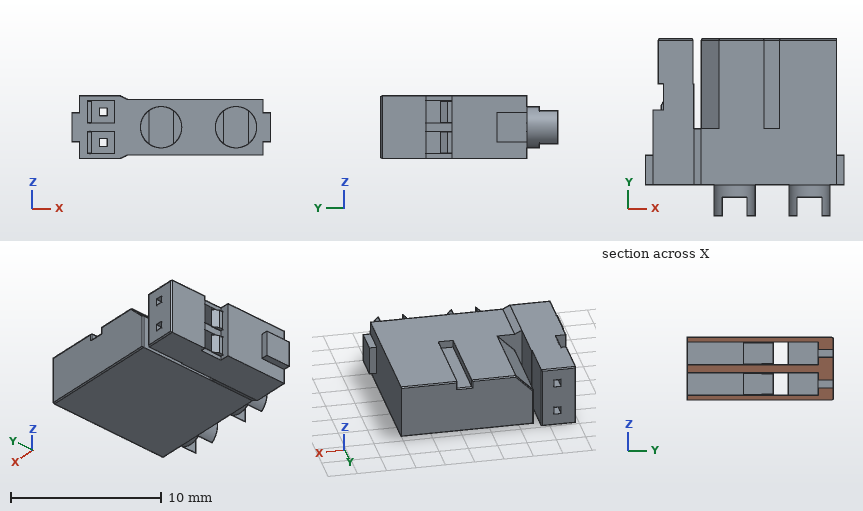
import cadquery as cq
import math


ear_length = 0.5
ear_depth = 1.99
ear_height = 1.95

overall_length = 13.24
housing_depth = 9.75
block_left = 3.72
block_right = overall_length - ear_length
block_height = 3.71

tower_left = ear_length
tower_right = 3.23
tower_height = 4.2
tower_rear_left = 0.85
tower_rear_right = 3.18
latch_front = 5.0
latch_back = 6.74
latch_floor = 1.2

web_depth = 3.76
key_chamfer_width = 1.19
key_chamfer_drop = 1.19
key_slot_left = 7.92
key_slot_width = 1.0
key_slot_depth = 0.5
back_rim_length = 0.1
back_rim_inset = 0.07
shoulder_depth = housing_depth - back_rim_length

cavity_left = 1.05
cavity_width = 1.8
cavity_height = 1.5
cavity_offset = 1.02
cavity_depth = 8.74
rear_hole_left = 1.84
rear_hole_size = 0.5
tongue_thickness = 0.26
tongue_height = 1.39
tongue_front = web_depth
tongue_shoulder = 5.3
tongue_tip = 5.76

terminal_diameter = 2.75
terminal_first_x = 5.95
terminal_pitch = 4.99
terminal_count = 2
terminal_protrusion = 2.05
terminal_seat_depth = web_depth
fork_gap = 1.64
fork_base = 0.83


def box_at(x_min, x_max, y_min, y_max, height, z_mid=0.0):
    """Box between the given X and Y limits, centred on z_mid."""
    return (
        cq.Workplane("XY")
        .box(x_max - x_min, y_max - y_min, height)
        .translate(((x_min + x_max) / 2, (y_min + y_max) / 2, z_mid))
    )


def plan_prism(points, height, z_mid=0.0):
    """Prism with an outline in X and Y, centred on z_mid."""
    return (
        cq.Workplane("XY", origin=(0, 0, z_mid))
        .polyline(points)
        .close()
        .extrude(height / 2, both=True)
    )


def along_y(x, y_front, y_back, diameter):
    """Cylinder parallel to Y at mid-height."""
    return (
        cq.Workplane("XZ", origin=(x, y_front, 0))
        .circle(diameter / 2)
        .extrude(y_front - y_back)
    )


def add_back_rim(body):
    """Extend the back face to the full housing depth, tapering inward all round."""
    taper_angle = math.degrees(math.atan2(back_rim_inset, back_rim_length))
    back_outline = body.faces(">Y").wires().toPending().workplane()
    return back_outline.extrude(back_rim_length, taper=taper_angle)


def make_block():
    """Main block with its key chamfer and key slot.

    It starts one rim inset too wide and is trimmed at the end, so its outer side stays flat to the back.
    """
    top = block_height / 2
    block = box_at(block_left, block_right + back_rim_inset, 0, shoulder_depth, block_height)

    key_chamfer = (
        cq.Workplane("XZ", origin=(0, web_depth, 0))
        .polyline([
            (block_left, top),
            (block_left + key_chamfer_width, top),
            (block_left, top - key_chamfer_drop),
        ])
        .close()
        .extrude(web_depth - shoulder_depth)
    )
    key_slot = box_at(
        key_slot_left,
        key_slot_left + key_slot_width,
        web_depth,
        shoulder_depth,
        2 * key_slot_depth,
        top,
    )
    block = block.cut(key_chamfer).cut(key_slot)
    block = add_back_rim(block)
    return block.intersect(box_at(block_left, block_right, 0, housing_depth, block_height))


def make_tower():
    """Signal tower with the latch recess on its outer side."""
    tower = plan_prism(
        [
            (tower_left, 0),
            (tower_right, 0),
            (tower_right, latch_back),
            (tower_rear_right, latch_back),
            (tower_rear_right, shoulder_depth),
            (tower_rear_left, shoulder_depth),
            (tower_rear_left, latch_back),
            (latch_floor, latch_back),
            (latch_floor, latch_front),
            (tower_left, latch_front),
        ],
        tower_height,
    )
    return add_back_rim(tower)


def make_web():
    """Tapered web that joins the tower to the block."""
    tower_top = tower_height / 2
    block_top = block_height / 2
    return (
        cq.Workplane("XZ")
        .polyline([
            (tower_right, tower_top),
            (block_left, block_top),
            (block_left, -block_top),
            (tower_right, -tower_top),
        ])
        .close()
        .extrude(-web_depth)
    )


def make_cavity(z_mid):
    """Space for one signal contact: the cavity and its square rear hole."""
    cavity = box_at(cavity_left, cavity_left + cavity_width, 0, cavity_depth, cavity_height, z_mid)
    rear_hole = box_at(
        rear_hole_left,
        rear_hole_left + rear_hole_size,
        cavity_depth,
        housing_depth,
        rear_hole_size,
        z_mid,
    )
    return cavity.union(rear_hole)


def make_tongue(z_mid):
    """Retaining tongue on the outer cavity wall, tapering to a tip in the latch recess."""
    return plan_prism(
        [
            (cavity_left, tongue_front),
            (cavity_left + tongue_thickness, tongue_front),
            (cavity_left + tongue_thickness, tongue_tip),
            (cavity_left, tongue_shoulder),
        ],
        tongue_height,
        z_mid,
    )


def make_housing():
    """Housing with ears, signal cavities and bores for the power terminals."""
    housing = make_block().union(make_web()).union(make_tower())
    for x_min in (0, block_right):
        housing = housing.union(box_at(x_min, x_min + ear_length, 0, ear_depth, ear_height))
    for z_mid in (-cavity_offset, cavity_offset):
        housing = housing.cut(make_cavity(z_mid)).union(make_tongue(z_mid))
    for x in terminal_positions:
        housing = housing.cut(along_y(x, 0, terminal_seat_depth, terminal_diameter))
    return housing


def make_terminal(x):
    """Power terminal seated in its bore, with a forked front end."""
    terminal = along_y(x, -terminal_protrusion, terminal_seat_depth, terminal_diameter)
    gap = box_at(
        x - fork_gap / 2,
        x + fork_gap / 2,
        -terminal_protrusion,
        -fork_base,
        terminal_diameter,
    )
    return terminal.cut(gap)


terminal_positions = [terminal_first_x + i * terminal_pitch for i in range(terminal_count)]

housing = make_housing()
terminals = [make_terminal(x) for x in terminal_positions]

result = cq.Compound.makeCompound([housing.val(), *[terminal.val() for terminal in terminals]])